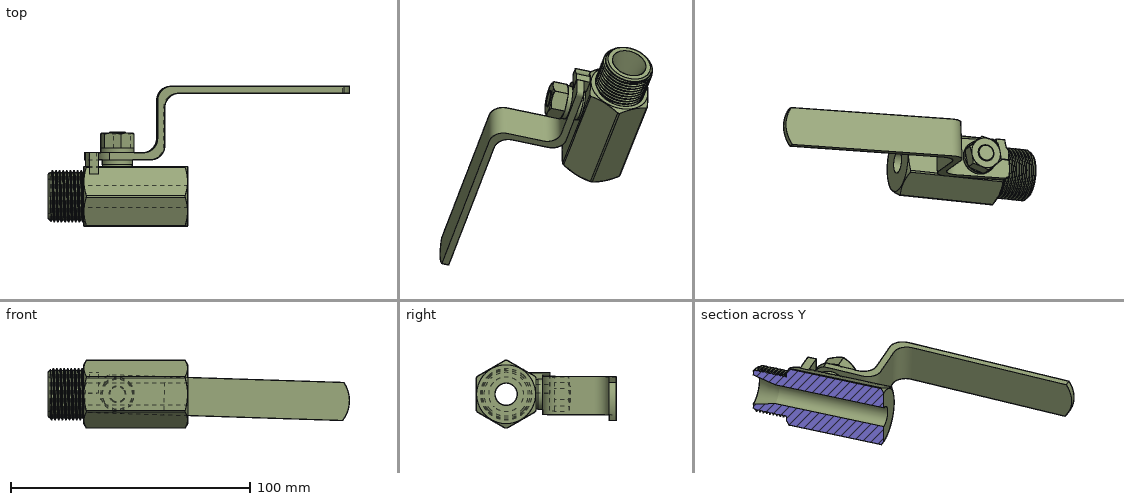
import cadquery as cq
import math


BODY_FLATS = 25.0
BODY_CORNER_DIAMETER = 28.4
BODY_FACE_DIAMETER = 24.6
BODY_CHAMFER_ANGLE = 30.0
BODY_START_X = -14.1
BODY_LENGTH = 43.5
BODY_TOP_Y = BODY_FLATS / 2

MALE_START_X = -29.0
THREAD_CREST_DIAMETER = 21.4
THREAD_ROOT_DIAMETER = 19.9
THREAD_PITCH = 1.5
THREAD_BASE_WIDTH = 1.1
THREAD_CREST_WIDTH = 0.2
THREAD_ROOT_OVERLAP = 0.3
THREAD_LEAD_IN = 0.75
MALE_FACE_DIAMETER = 18.4
MALE_EMBED = 2.0
TRIM_CLEARANCE = 0.5

BORE_MOUTH_DIAMETER = 14.52
BORE_DIAMETER = 9.2
BORE_TAPER_LENGTH = 10.0

LEVER_WIDTH = 16.0
LEVER_THICKNESS = 3.0
LEVER_BOTTOM_Y = 15.2
LEVER_TOP_Y = 46.0
LEVER_LEG_X = 16.6
LEVER_BEND_RADIUS = 6.0
LEVER_LENGTH = 96.98
LEVER_TIP_RADIUS = 13.5
LEVER_TILT = 1.85
HUB_DIAMETER = 17.5
STOP_ARM_REACH = 13.5
STOP_ARM_CORNER_RADIUS = 2.2

STEM_EMBED = 1.0
GLAND_NECK_DIAMETER = 12.5
GLAND_DIAMETER = 12.8
GLAND_BOTTOM_Y = 13.25
WASHER_DIAMETER = 14.0
NUT_BOTTOM_Y = 20.1
NUT_TOP_Y = 26.5
NUT_FLATS = 12.8
NUT_CHAMFER_ANGLE = 30.0
NUT_TURN = 18.0
STEM_DIAMETER = 8.0
STEM_TOP_Y = 26.8
STEM_CHAMFER = 0.8

POST_LEFT_X = -13.35
POST_TOP_LEFT_X = -11.6
POST_RIGHT_X = -7.8
POST_LOW_Z = 0.55
POST_SCOOP_Z = 4.0
POST_HIGH_Z = 9.0
POST_TOP_Y = 18.4


def hexagon_corner_diameter(across_flats):
    return across_flats / math.cos(math.radians(30))


def upright_cylinder(diameter, bottom_y, top_y):
    """Cylinder about the stem axis between two heights."""
    return (
        cq.Workplane("XZ", origin=(0, bottom_y, 0))
        .circle(diameter / 2)
        .extrude(bottom_y - top_y)
    )


def make_hex_body():
    """Hexagonal bar with turned corners and a conical chamfer at both ends."""
    end_x = BODY_START_X + BODY_LENGTH
    bar = (
        cq.Workplane("YZ", origin=(BODY_START_X, 0, 0))
        .transformed(rotate=(0, 0, 30))
        .polygon(6, hexagon_corner_diameter(BODY_FLATS))
        .extrude(BODY_LENGTH)
    )
    corner_radius = BODY_CORNER_DIAMETER / 2
    face_radius = BODY_FACE_DIAMETER / 2
    chamfer_length = (corner_radius - face_radius) * math.tan(math.radians(BODY_CHAMFER_ANGLE))
    turned_envelope = (
        cq.Workplane("XY")
        .moveTo(BODY_START_X, 0)
        .lineTo(BODY_START_X, face_radius)
        .lineTo(BODY_START_X + chamfer_length, corner_radius)
        .lineTo(end_x - chamfer_length, corner_radius)
        .lineTo(end_x, face_radius)
        .lineTo(end_x, 0)
        .close()
        .revolve(360, (0, 0, 0), (1, 0, 0))
    )
    return bar.intersect(turned_envelope)


def make_thread_rib():
    """Right-handed helical rib that starts at +Z and ends inside the body."""
    root_radius = THREAD_ROOT_DIAMETER / 2
    crest_radius = THREAD_CREST_DIAMETER / 2
    inner_radius = root_radius - THREAD_ROOT_OVERLAP
    start_x = MALE_START_X + THREAD_LEAD_IN
    length = BODY_START_X + THREAD_PITCH - start_x
    path = cq.Wire.makeHelix(THREAD_PITCH, length, root_radius)
    half_base = THREAD_BASE_WIDTH / 2
    half_crest = THREAD_CREST_WIDTH / 2
    rib = (
        cq.Workplane("XZ")
        .moveTo(inner_radius, -half_base)
        .lineTo(crest_radius, -half_crest)
        .lineTo(crest_radius, half_crest)
        .lineTo(inner_radius, half_base)
        .close()
        .sweep(cq.Workplane(path), isFrenet=True)
    )
    laid_down = rib.rotate((0, 0, 0), (0, 1, 0), 90)
    return laid_down.rotate((0, 0, 0), (1, 0, 0), 180).translate((start_x, 0, 0))


def make_male_end():
    """Threaded spigot; one chamfer cone trims both the mouth and the first turn of thread."""
    crest_radius = THREAD_CREST_DIAMETER / 2
    face_radius = MALE_FACE_DIAMETER / 2
    length = BODY_START_X - MALE_START_X + MALE_EMBED
    core = (
        cq.Workplane("YZ", origin=(MALE_START_X, 0, 0))
        .circle(THREAD_ROOT_DIAMETER / 2)
        .extrude(length)
    )
    chamfer_length = crest_radius - face_radius
    trim_radius = crest_radius + TRIM_CLEARANCE
    trim_x = MALE_START_X + chamfer_length + TRIM_CLEARANCE
    outside_cone = (
        cq.Workplane("XY")
        .moveTo(MALE_START_X, face_radius)
        .lineTo(trim_x, trim_radius)
        .lineTo(MALE_START_X, trim_radius)
        .close()
        .revolve(360, (0, 0, 0), (1, 0, 0))
    )
    return core.union(make_thread_rib()).cut(outside_cone)


def make_bore():
    """Through bore that tapers in from the male mouth."""
    bore_radius = BORE_DIAMETER / 2
    end_x = BODY_START_X + BODY_LENGTH
    return (
        cq.Workplane("XY")
        .moveTo(MALE_START_X, 0)
        .lineTo(MALE_START_X, BORE_MOUTH_DIAMETER / 2)
        .lineTo(MALE_START_X + BORE_TAPER_LENGTH, bore_radius)
        .lineTo(end_x, bore_radius)
        .lineTo(end_x, 0)
        .close()
        .revolve(360, (0, 0, 0), (1, 0, 0))
    )


def make_lever_strip():
    """Z-bent flat bar from the stem axis to the rounded tip."""
    inner_leg_x = LEVER_LEG_X
    outer_leg_x = LEVER_LEG_X + LEVER_THICKNESS
    low_top_y = LEVER_BOTTOM_Y + LEVER_THICKNESS
    high_bottom_y = LEVER_TOP_Y - LEVER_THICKNESS
    strip = (
        cq.Workplane("XY")
        .moveTo(0, LEVER_BOTTOM_Y)
        .lineTo(outer_leg_x, LEVER_BOTTOM_Y)
        .lineTo(outer_leg_x, high_bottom_y)
        .lineTo(LEVER_LENGTH, high_bottom_y)
        .lineTo(LEVER_LENGTH, LEVER_TOP_Y)
        .lineTo(inner_leg_x, LEVER_TOP_Y)
        .lineTo(inner_leg_x, low_top_y)
        .lineTo(0, low_top_y)
        .close()
        .extrude(LEVER_WIDTH / 2, both=True)
    )
    leg_edges = cq.selectors.BoxSelector(
        (inner_leg_x - LEVER_THICKNESS, 0, -LEVER_WIDTH),
        (outer_leg_x + LEVER_THICKNESS, LEVER_TOP_Y + LEVER_THICKNESS, LEVER_WIDTH),
    )
    strip = strip.edges("|Z").edges(leg_edges).fillet(LEVER_BEND_RADIUS)
    half_width = LEVER_WIDTH / 2
    tip_rise = LEVER_TIP_RADIUS - math.sqrt(LEVER_TIP_RADIUS**2 - half_width**2)
    corner_x = LEVER_LENGTH - tip_rise
    plan = (
        cq.Workplane("XZ")
        .moveTo(0, -half_width)
        .lineTo(corner_x, -half_width)
        .threePointArc((LEVER_LENGTH, 0), (corner_x, half_width))
        .lineTo(0, half_width)
        .close()
        .extrude(-LEVER_TOP_Y)
    )
    return strip.intersect(plan)


def make_lever_hub():
    """Round hub, trimmed to the lever width, with the arm that meets the stop post."""
    top_y = LEVER_BOTTOM_Y + LEVER_THICKNESS
    half_width = LEVER_WIDTH / 2
    blank = (
        cq.Workplane("XZ", origin=(0, LEVER_BOTTOM_Y, 0))
        .rect(HUB_DIAMETER, LEVER_WIDTH)
        .extrude(-LEVER_THICKNESS)
    )
    hub = upright_cylinder(HUB_DIAMETER, LEVER_BOTTOM_Y, top_y).intersect(blank)
    arm = (
        cq.Workplane("XZ", origin=(0, LEVER_BOTTOM_Y, 0))
        .moveTo(0, 0)
        .lineTo(-STOP_ARM_REACH, 0)
        .lineTo(-STOP_ARM_REACH, -half_width)
        .lineTo(0, -half_width)
        .close()
        .extrude(-LEVER_THICKNESS)
        .edges("|Y and <X and <Z")
        .fillet(STOP_ARM_CORNER_RADIUS)
    )
    return hub.union(arm)


def make_lever():
    """Lever turned slightly about the stem so that its arm rests on the stop post."""
    lever = make_lever_strip().union(make_lever_hub())
    return lever.rotate((0, 0, 0), (0, 1, 0), LEVER_TILT)


def make_nut():
    """Hexagon nut with a conical chamfer on its upper corners."""
    corner_diameter = hexagon_corner_diameter(NUT_FLATS)
    corner_radius = corner_diameter / 2
    face_radius = NUT_FLATS / 2
    chamfer_height = (corner_radius - face_radius) * math.tan(math.radians(NUT_CHAMFER_ANGLE))
    prism = (
        cq.Workplane("XZ", origin=(0, NUT_BOTTOM_Y, 0))
        .transformed(rotate=(0, 0, NUT_TURN))
        .polygon(6, corner_diameter)
        .extrude(NUT_BOTTOM_Y - NUT_TOP_Y)
    )
    turned_envelope = (
        cq.Workplane("XY")
        .moveTo(0, NUT_BOTTOM_Y)
        .lineTo(corner_radius, NUT_BOTTOM_Y)
        .lineTo(corner_radius, NUT_TOP_Y - chamfer_height)
        .lineTo(face_radius, NUT_TOP_Y)
        .lineTo(0, NUT_TOP_Y)
        .close()
        .revolve(360, (0, 0, 0), (0, 1, 0))
    )
    return prism.intersect(turned_envelope)


def make_stem_stack():
    """Gland under the lever, washer and nut above it, and the chamfered stem end."""
    lever_top_y = LEVER_BOTTOM_Y + LEVER_THICKNESS
    stem = upright_cylinder(STEM_DIAMETER, LEVER_BOTTOM_Y, STEM_TOP_Y)
    stem = stem.faces(">Y").chamfer(STEM_CHAMFER)
    return (
        upright_cylinder(GLAND_NECK_DIAMETER, BODY_TOP_Y - STEM_EMBED, GLAND_BOTTOM_Y)
        .union(upright_cylinder(GLAND_DIAMETER, GLAND_BOTTOM_Y, LEVER_BOTTOM_Y))
        .union(upright_cylinder(WASHER_DIAMETER, lever_top_y, NUT_BOTTOM_Y))
        .union(stem)
        .union(make_nut())
    )


def make_stop_post():
    """Post rising from the body, with a concave scoop that is upright at its top edge."""
    scoop_width = POST_TOP_LEFT_X - POST_LEFT_X
    scoop_height = POST_HIGH_Z - POST_SCOOP_Z
    scoop_radius = (scoop_width**2 + scoop_height**2) / (2 * scoop_width)
    half_angle = math.asin(scoop_height / scoop_radius) / 2
    scoop_middle = (
        POST_TOP_LEFT_X - scoop_radius * (1 - math.cos(half_angle)),
        POST_HIGH_Z - scoop_radius * math.sin(half_angle),
    )
    base_y = BODY_TOP_Y / 2 + STEM_EMBED
    return (
        cq.Workplane("XZ", origin=(0, base_y, 0))
        .moveTo(POST_RIGHT_X, POST_LOW_Z)
        .lineTo(POST_LEFT_X, POST_LOW_Z)
        .lineTo(POST_LEFT_X, POST_SCOOP_Z)
        .threePointArc(scoop_middle, (POST_TOP_LEFT_X, POST_HIGH_Z))
        .lineTo(POST_RIGHT_X, POST_HIGH_Z)
        .close()
        .extrude(base_y - POST_TOP_Y)
    )


housing = make_hex_body().union(make_stop_post()).union(make_male_end()).cut(make_bore())
result = housing.union(make_stem_stack()).union(make_lever())